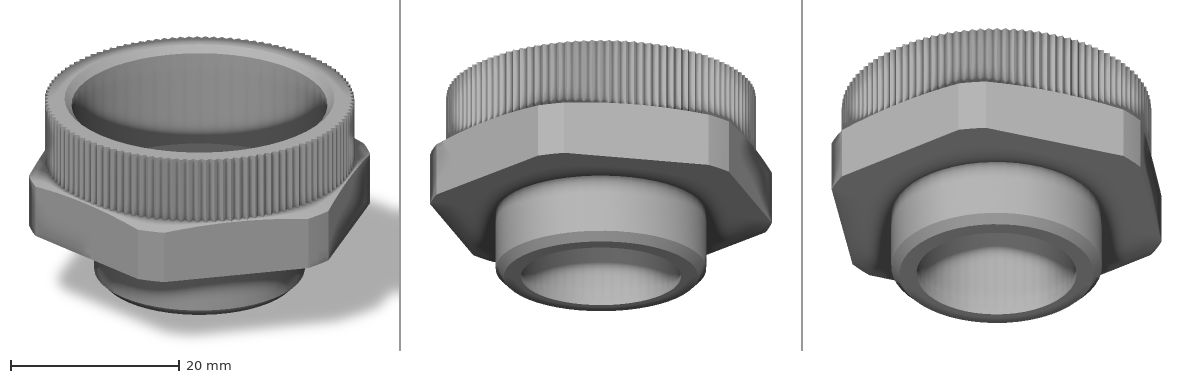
import cadquery as cq
import math

total_height = 23.0
spigot_height = 8.0
knurl_base_height = 15.1

spigot_diameter = 25
spigot_chamfer = 1.0

across_flats = 37.0
across_corners = 41
cone_angle = 15

tooth_count = 115
tooth_tip_radius = 18.35
tooth_depth = 0.5
tooth_root_radius = tooth_tip_radius - tooth_depth
first_tip_angle = -90

through_diameter = 19.0
socket_diameter = 30.37
socket_depth = 12.5
socket_chamfer = 0.8


def polar_point(radius, degrees):
    angle = math.radians(degrees)
    return radius * math.cos(angle), radius * math.sin(angle)


def make_spigot():
    return (
        cq.Workplane("XY")
        .circle(spigot_diameter / 2)
        .extrude(knurl_base_height)
        .faces("<Z")
        .chamfer(spigot_chamfer)
    )


def make_hexagon():
    sharp_corner_diameter = across_flats / math.cos(math.radians(30))
    prism = (
        cq.Workplane("XY")
        .workplane(offset=spigot_height)
        .transformed(rotate=(0, 0, 90))
        .polygon(6, sharp_corner_diameter)
        .extrude(knurl_base_height - spigot_height)
    )
    corner_radius = across_corners / 2
    cone_drop = (corner_radius - tooth_root_radius) * math.tan(math.radians(cone_angle))
    turned_envelope = (
        cq.Workplane("XZ")
        .moveTo(0, spigot_height)
        .lineTo(corner_radius, spigot_height)
        .lineTo(corner_radius, knurl_base_height - cone_drop)
        .lineTo(tooth_root_radius, knurl_base_height)
        .lineTo(0, knurl_base_height)
        .close()
        .revolve(360, (0, 0, 0), (0, 1, 0))
    )
    return prism.intersect(turned_envelope)


def make_knurled_head():
    pitch = 360 / tooth_count
    outline = []
    for tooth in range(tooth_count):
        tip_angle = first_tip_angle + tooth * pitch
        outline.append(polar_point(tooth_tip_radius, tip_angle))
        outline.append(polar_point(tooth_root_radius, tip_angle + pitch / 2))
    head_bottom = (spigot_height + knurl_base_height) / 2
    return (
        cq.Workplane("XY")
        .workplane(offset=head_bottom)
        .polyline(outline)
        .close()
        .extrude(total_height - head_bottom)
    )


def make_bore():
    through_radius = through_diameter / 2
    socket_radius = socket_diameter / 2
    socket_floor = total_height - socket_depth
    return (
        cq.Workplane("XZ")
        .lineTo(through_radius, 0)
        .lineTo(through_radius, socket_floor)
        .lineTo(socket_radius, socket_floor)
        .lineTo(socket_radius, total_height - socket_chamfer)
        .lineTo(socket_radius + socket_chamfer, total_height)
        .lineTo(0, total_height)
        .close()
        .revolve(360, (0, 0, 0), (0, 1, 0))
    )


result = make_spigot().union(make_hexagon()).union(make_knurled_head()).cut(make_bore())